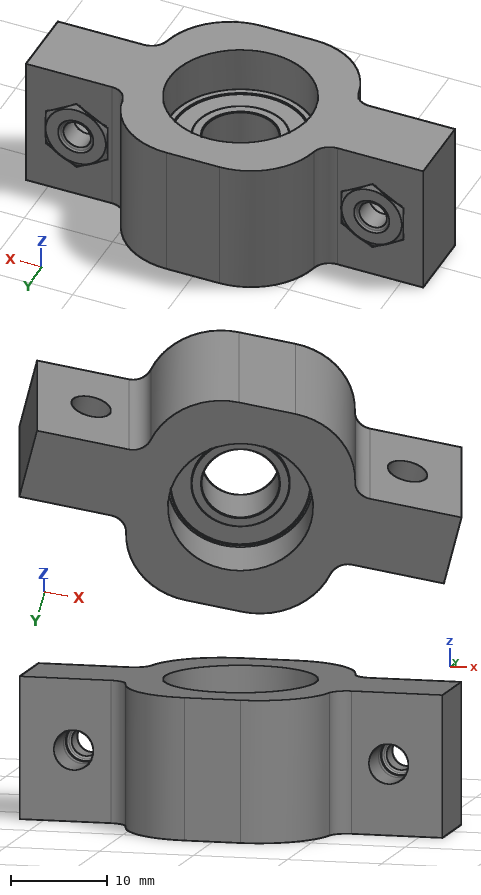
import cadquery as cq
import math

LENGTH = 45.0
HEIGHT = 15.0
HUB_DEPTH = 24.0
HUB_FLAT = 6.0
HUB_RADIUS = 8.0
ARM_THICKNESS = 8.0
ARM_FILLET = 2.0
LIP_DIAMETER = 15.0
BOLT_HOLE = 4.2

BEARING_OUTER = 16.0
BEARING_BORE = 8.0
BEARING_WIDTH = 5.0
OUTER_RING_INNER = 13.0
INNER_RING_OUTER = 10.2
SHIELD_OUTER = 14.4
SHIELD_THICKNESS = 0.4
SHIELD_RECESS = 0.15
RING_CHAMFER = 0.1

NUT_SPACING = 33.52
NUT_ACROSS_FLATS = 7.0
NUT_THICKNESS = 3.2
NUT_PROTRUSION = 0.2
NUT_FACE_DIAMETER = 6.8
NUT_CHAMFER_ANGLE = 30
NUT_BORE = 3.1
NUT_COUNTERSINK = 4.0
NUT_CONE_DIAMETER = 3.6
NUT_CONE_ANGLE = 30

MARGIN = 0.45

MID_HEIGHT = HEIGHT / 2
BEARING_BOTTOM = MID_HEIGHT - BEARING_WIDTH / 2
BEARING_TOP = MID_HEIGHT + BEARING_WIDTH / 2
NUT_BACK = ARM_THICKNESS / 2 + NUT_PROTRUSION
NUT_FRONT = NUT_BACK - NUT_THICKNESS
NUT_POSITIONS = [-NUT_SPACING / 2, NUT_SPACING / 2]


def z_cylinder(diameter, bottom, top):
    return cq.Workplane("XY", origin=(0, 0, bottom)).circle(diameter / 2).extrude(top - bottom)


def hexagon_prism(x):
    """Hexagon from the front to the back of a nut, with two corners on the X direction."""
    return (
        cq.Workplane("XZ", origin=(x, NUT_FRONT, MID_HEIGHT))
        .polygon(6, NUT_ACROSS_FLATS, circumscribed=True)
        .extrude(-NUT_THICKNESS)
    )


def make_blank():
    """Hub and arms, with fillets where they meet."""
    hub = (
        cq.Workplane("XY")
        .rect(HUB_FLAT + 2 * HUB_RADIUS, HUB_DEPTH)
        .extrude(HEIGHT)
        .edges("|Z")
        .fillet(HUB_RADIUS)
    )
    arms = cq.Workplane("XY").rect(LENGTH, ARM_THICKNESS).extrude(HEIGHT)
    blank = hub.union(arms)
    hub_half_width = HUB_FLAT / 2 + HUB_RADIUS
    inner_corners = cq.selectors.BoxSelector(
        (-hub_half_width - MARGIN, -ARM_THICKNESS / 2 - MARGIN, 0),
        (hub_half_width + MARGIN, ARM_THICKNESS / 2 + MARGIN, HEIGHT),
    )
    return blank.edges("|Z").edges(inner_corners).fillet(ARM_FILLET)


def make_housing():
    """Blank with the bearing seat, the lip below it, the bolt holes and the nut pockets."""
    housing = make_blank()
    housing = housing.cut(z_cylinder(LIP_DIAMETER, 0, BEARING_BOTTOM))
    housing = housing.cut(z_cylinder(BEARING_OUTER, BEARING_BOTTOM, HEIGHT))
    bolt_holes = (
        cq.Workplane("XZ", origin=(0, 0, MID_HEIGHT))
        .pushPoints([(x, 0) for x in NUT_POSITIONS])
        .circle(BOLT_HOLE / 2)
        .extrude(ARM_THICKNESS, both=True)
    )
    housing = housing.cut(bolt_holes)
    for x in NUT_POSITIONS:
        housing = housing.cut(hexagon_prism(x))
    return housing


def make_outer_ring():
    """Outer ring with a shield seat at each end."""
    seat_depth = SHIELD_RECESS + SHIELD_THICKNESS
    ring = z_cylinder(BEARING_OUTER, BEARING_BOTTOM, BEARING_TOP)
    ring = ring.cut(z_cylinder(OUTER_RING_INNER, BEARING_BOTTOM, BEARING_TOP))
    ring = ring.cut(z_cylinder(SHIELD_OUTER, BEARING_BOTTOM, BEARING_BOTTOM + seat_depth))
    ring = ring.cut(z_cylinder(SHIELD_OUTER, BEARING_TOP - seat_depth, BEARING_TOP))
    return ring.faces("<Z or >Z").edges().chamfer(RING_CHAMFER)


def make_inner_ring():
    ring = z_cylinder(INNER_RING_OUTER, BEARING_BOTTOM, BEARING_TOP)
    ring = ring.cut(z_cylinder(BEARING_BORE, BEARING_BOTTOM, BEARING_TOP))
    return ring.faces("<Z or >Z").edges().chamfer(RING_CHAMFER)


def make_shield(bottom):
    top = bottom + SHIELD_THICKNESS
    return z_cylinder(SHIELD_OUTER, bottom, top).cut(z_cylinder(INNER_RING_OUTER, bottom, top))


def make_nut(x):
    """Hexagon nut, its corners chamfered and its bore opened by two cones at each end."""
    face_radius = NUT_FACE_DIAMETER / 2
    bore_radius = NUT_BORE / 2
    sink_radius = NUT_COUNTERSINK / 2
    cone_radius = NUT_CONE_DIAMETER / 2
    cone_depth = sink_radius - cone_radius
    bore_depth = cone_depth + (cone_radius - bore_radius) * math.tan(math.radians(NUT_CONE_ANGLE))
    rim_radius = NUT_ACROSS_FLATS / math.sqrt(3) + MARGIN
    rim_drop = (rim_radius - face_radius) * math.tan(math.radians(NUT_CHAMFER_ANGLE))
    envelope = (
        cq.Workplane("XY")
        .moveTo(sink_radius, NUT_FRONT)
        .lineTo(face_radius, NUT_FRONT)
        .lineTo(rim_radius, NUT_FRONT + rim_drop)
        .lineTo(rim_radius, NUT_BACK - rim_drop)
        .lineTo(face_radius, NUT_BACK)
        .lineTo(sink_radius, NUT_BACK)
        .lineTo(cone_radius, NUT_BACK - cone_depth)
        .lineTo(bore_radius, NUT_BACK - bore_depth)
        .lineTo(bore_radius, NUT_FRONT + bore_depth)
        .lineTo(cone_radius, NUT_FRONT + cone_depth)
        .close()
        .revolve(360, (0, 0, 0), (0, 1, 0))
        .translate((x, 0, MID_HEIGHT))
    )
    return hexagon_prism(x).intersect(envelope)


housing = make_housing()
outer_ring = make_outer_ring()
inner_ring = make_inner_ring()
shield_bottoms = [
    BEARING_BOTTOM + SHIELD_RECESS,
    BEARING_TOP - SHIELD_RECESS - SHIELD_THICKNESS,
]
shields = [make_shield(bottom) for bottom in shield_bottoms]
nuts = [make_nut(x) for x in NUT_POSITIONS]

result = cq.Compound.makeCompound(
    [body.val() for body in [housing, outer_ring, inner_ring, *shields, *nuts]]
)